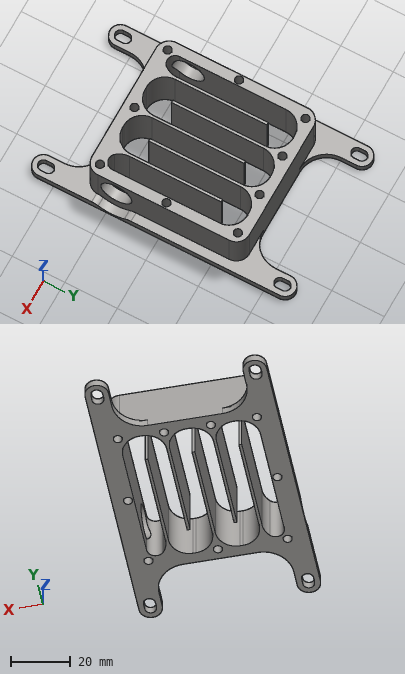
import cadquery as cq
import math

TOTAL_HEIGHT = 19.0
FLANGE_WIDTH = 62.0
FLANGE_LENGTH = 100.0
FLANGE_THICKNESS = 3.0

BODY_WIDTH = 55.0
BODY_LENGTH = 60.0
BODY_CORNER_RADIUS = 5.0
FRAME_WALL = 4.0
HALF_CHAMBER_WIDTH = BODY_WIDTH / 2 - FRAME_WALL
HALF_CHAMBER_LENGTH = BODY_LENGTH / 2 - FRAME_WALL

PARTITION_PITCH = 8.0
PARTITION_THICKNESS = 1.0
TURN_GAP = 10.0
TURN_RADIUS = 7.0
OUTER_LANE_INNER_X = 2 * PARTITION_PITCH + PARTITION_THICKNESS / 2
PORT_END_RADIUS = 3.0
REAR_PARTITIONS_X = (-PARTITION_PITCH, PARTITION_PITCH)
FRONT_PARTITIONS_X = (-2 * PARTITION_PITCH, 0.0, 2 * PARTITION_PITCH)

ARM_WIDTH = 8.0
ARM_ROOT_RADIUS = 10.2
SLOT_WIDTH = 4.0
SLOT_LENGTH = 6.0
SLOT_Y = 45.0

SCREW_HOLE_DIAMETER = 3.0
CORNER_HOLE_INSET = 3.75
CORNER_HOLE_X = BODY_WIDTH / 2 - CORNER_HOLE_INSET
CORNER_HOLE_Y = BODY_LENGTH / 2 - CORNER_HOLE_INSET
END_HOLE_Y = HALF_CHAMBER_LENGTH
SIDE_HOLE_X = 25.5

PORT_DIAMETER = 11.8
PORT_Y = -18.0
PORT_Z = (FLANGE_THICKNESS + TOTAL_HEIGHT) / 2
CLEARANCE_RADIUS = 10.0
CLEARANCE_LIP_RADIUS = 5.0


def make_flange():
    """Plate with four round-ended arms that flare into the body."""
    half_width = FLANGE_WIDTH / 2
    half_length = FLANGE_LENGTH / 2
    body_edge = BODY_LENGTH / 2
    tip_radius = ARM_WIDTH / 2
    arm_x = half_width - tip_radius
    arm_inner_x = half_width - ARM_WIDTH
    root_offset = ARM_ROOT_RADIUS * (1 - math.sqrt(0.5))

    quarter = (
        cq.Workplane("XY")
        .lineTo(half_width, 0)
        .lineTo(half_width, half_length - tip_radius)
        .threePointArc((arm_x, half_length), (arm_inner_x, half_length - tip_radius))
        .lineTo(arm_inner_x, body_edge + ARM_ROOT_RADIUS)
        .threePointArc(
            (arm_inner_x - root_offset, body_edge + root_offset),
            (arm_inner_x - ARM_ROOT_RADIUS, body_edge),
        )
        .lineTo(0, body_edge)
        .close()
        .extrude(FLANGE_THICKNESS)
    )
    half = quarter.union(quarter.mirror("YZ"))
    return half.union(half.mirror("XZ"))


def make_fitting_clearance():
    """Shallow round trough across the flange, with rounded lips."""
    lip_center_z = FLANGE_THICKNESS - CLEARANCE_LIP_RADIUS
    center_distance = CLEARANCE_RADIUS + CLEARANCE_LIP_RADIUS
    lip_rise = PORT_Z - lip_center_z
    lip_reach = math.sqrt(center_distance**2 - lip_rise**2)
    lip_angle = math.atan2(lip_rise, lip_reach)
    lip_mid_angle = (lip_angle + math.pi / 2) / 2

    def lip_point(side, angle):
        y = PORT_Y + side * (lip_reach - CLEARANCE_LIP_RADIUS * math.cos(angle))
        z = lip_center_z + CLEARANCE_LIP_RADIUS * math.sin(angle)
        return (y, z)

    return (
        cq.Workplane("YZ")
        .moveTo(*lip_point(-1, math.pi / 2))
        .threePointArc(lip_point(-1, lip_mid_angle), lip_point(-1, lip_angle))
        .threePointArc((PORT_Y, PORT_Z - CLEARANCE_RADIUS), lip_point(1, lip_angle))
        .threePointArc(lip_point(1, lip_mid_angle), lip_point(1, math.pi / 2))
        .close()
        .extrude(FLANGE_WIDTH / 2, both=True)
    )


def make_body():
    """Solid block with rounded upright corners, before the channel is cut."""
    return (
        cq.Workplane("XY")
        .box(BODY_WIDTH, BODY_LENGTH, TOTAL_HEIGHT, centered=(True, True, False))
        .edges("|Z")
        .fillet(BODY_CORNER_RADIUS)
    )


def make_turn(center_x, end):
    """Rounded lobe of the channel, two lanes wide, reaching one end of the chamber.

    end is +1 for the rear (+Y) and -1 for the front (-Y).
    """
    lobe_width = 2 * PARTITION_PITCH - PARTITION_THICKNESS
    end_face = ">Y" if end > 0 else "<Y"
    return (
        cq.Workplane("XY")
        .center(center_x, end * HALF_CHAMBER_LENGTH / 2)
        .rect(lobe_width, HALF_CHAMBER_LENGTH)
        .extrude(TOTAL_HEIGHT)
        .faces(end_face)
        .edges("|Z")
        .fillet(TURN_RADIUS)
    )


def make_port_end(side):
    """Front end of an outer lane: a large inner round blended into a small outer round.

    side is +1 for the lane on +X and -1 for the lane on -X.
    """
    outer_x = HALF_CHAMBER_WIDTH
    inner_x = OUTER_LANE_INNER_X
    large_x = inner_x + TURN_RADIUS
    large_y = TURN_RADIUS - HALF_CHAMBER_LENGTH
    small_x = outer_x - PORT_END_RADIUS

    reach = TURN_RADIUS - PORT_END_RADIUS
    small_y = large_y - math.sqrt(reach**2 - (large_x - small_x) ** 2)
    touch_angle = math.atan2(small_y - large_y, small_x - large_x)
    large_mid_angle = (touch_angle - math.pi) / 2
    small_mid_angle = touch_angle / 2

    def round_point(x, y, radius, angle):
        return (side * (x + radius * math.cos(angle)), y + radius * math.sin(angle))

    touch_point = round_point(large_x, large_y, TURN_RADIUS, touch_angle)
    return (
        cq.Workplane("XY")
        .moveTo(side * outer_x, 0)
        .lineTo(side * inner_x, 0)
        .lineTo(side * inner_x, large_y)
        .threePointArc(round_point(large_x, large_y, TURN_RADIUS, large_mid_angle), touch_point)
        .threePointArc(
            round_point(small_x, small_y, PORT_END_RADIUS, small_mid_angle),
            (side * outer_x, small_y),
        )
        .close()
        .extrude(TOTAL_HEIGHT)
    )


def make_channel():
    """Serpentine channel, open at top and bottom, with its partitions left out."""
    channel = make_port_end(-1).union(make_port_end(1))
    for x in FRONT_PARTITIONS_X:
        channel = channel.union(make_turn(x, 1))
    for x in REAR_PARTITIONS_X:
        channel = channel.union(make_turn(x, -1))

    partition_length = 2 * HALF_CHAMBER_LENGTH - TURN_GAP
    partition_sets = ((FRONT_PARTITIONS_X, -TURN_GAP / 2), (REAR_PARTITIONS_X, TURN_GAP / 2))
    for x_positions, center_y in partition_sets:
        partitions = (
            cq.Workplane("XY")
            .pushPoints([(x, center_y) for x in x_positions])
            .rect(PARTITION_THICKNESS, partition_length)
            .extrude(TOTAL_HEIGHT)
        )
        channel = channel.cut(partitions)
    return channel


def make_port(side):
    """Round port through a side wall, ending at the middle of the outer lane."""
    port_end_x = (HALF_CHAMBER_WIDTH + OUTER_LANE_INNER_X) / 2
    return (
        cq.Workplane("YZ", origin=(side * port_end_x, PORT_Y, PORT_Z))
        .circle(PORT_DIAMETER / 2)
        .extrude(side * (BODY_WIDTH / 2 - port_end_x))
    )


def make_arm_slots():
    """One lengthwise slot near the tip of each arm."""
    slot_x = (FLANGE_WIDTH - ARM_WIDTH) / 2
    return (
        cq.Workplane("XY")
        .rect(2 * slot_x, 2 * SLOT_Y, forConstruction=True)
        .vertices()
        .slot2D(SLOT_LENGTH, SLOT_WIDTH, angle=90)
        .extrude(FLANGE_THICKNESS)
    )


def make_screw_holes():
    """Rim holes at the corners, mid-sides and the roots of three partitions."""
    corner_points = [
        (x_side * CORNER_HOLE_X, y_side * CORNER_HOLE_Y) for x_side in (-1, 1) for y_side in (-1, 1)
    ]
    side_points = [(-SIDE_HOLE_X, 0), (SIDE_HOLE_X, 0)]
    rear_points = [(x, END_HOLE_Y) for x in REAR_PARTITIONS_X]
    front_points = [(0, -END_HOLE_Y)]
    return (
        cq.Workplane("XY")
        .pushPoints(corner_points + side_points + rear_points + front_points)
        .circle(SCREW_HOLE_DIAMETER / 2)
        .extrude(TOTAL_HEIGHT)
    )


result = (
    make_flange()
    .cut(make_fitting_clearance())
    .union(make_body())
    .cut(make_channel())
    .cut(make_port(-1))
    .cut(make_port(1))
    .cut(make_arm_slots())
    .cut(make_screw_holes())
)